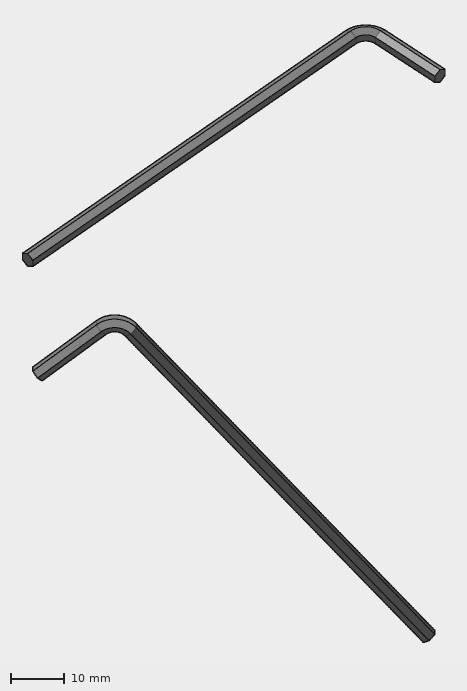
import cadquery as cq
import math

long_reach = 92.6
short_reach = 21.0
across_flats = 2.8
outer_bend_radius = 5.4

across_corners = across_flats / math.cos(math.radians(30))
half_flats = across_flats / 2
bend_radius = outer_bend_radius - half_flats
long_straight = long_reach - outer_bend_radius
short_straight = short_reach - outer_bend_radius


def hexagon(plane):
    """Bar section with its corners along the plane's local X direction."""
    return cq.Workplane(plane).polygon(6, across_corners)


long_arm_end = cq.Plane(origin=(0, 0, 0), xDir=(0, 0, 1), normal=(0, 1, 0))
bend_start = cq.Plane(origin=(0, long_straight, 0), xDir=(0, 0, 1), normal=(0, 1, 0))
bend_end = cq.Plane(
    origin=(bend_radius, long_straight + bend_radius, 0), xDir=(0, 0, 1), normal=(1, 0, 0)
)

long_arm = hexagon(long_arm_end).extrude(long_straight)
short_arm = hexagon(bend_end).extrude(short_straight)

bend = hexagon(bend_start).revolve(90, (0, bend_radius, 0), (-1, bend_radius, 0))

result = long_arm.union(bend).union(short_arm)